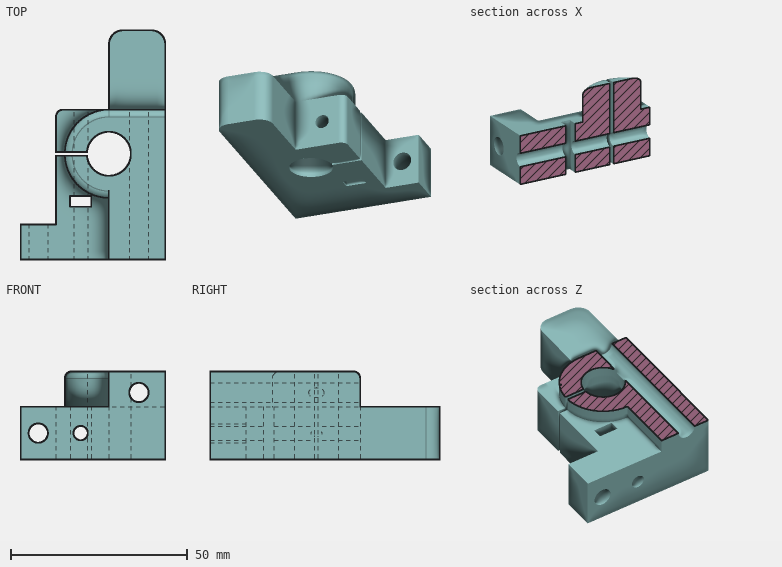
import cadquery as cq

total_width = 41.0
total_length = 65.0
total_height = 25.0
base_height = 15.0

bore_x = 25.0
bore_y = 30.0
bore_diameter = 12.4
clamp_radius = 12.5
rim_fillet = 2.0
split_width = 1.0

flange_depth = 10.0
body_left_x = 10.0
body_back_y = bore_y + clamp_radius
body_corner_radius = 2.0
arm_corner_radius = 4.0

screw_diameter = 5.4
clamp_screw_diameter = 4.0
low_hole_z = base_height / 2
flange_hole_x = 5.0
clamp_hole_x = 17.0
upper_hole_x = 33.5
upper_hole_z = 19.0

nut_pocket_width = 6.0
nut_pocket_length = 3.0
nut_pocket_front_y = 15.0


def box_between(x_range, y_range, z_range):
    """Box that spans the given (low, high) limits on each axis."""
    low, high = zip(x_range, y_range, z_range)
    size = [end - start for start, end in zip(low, high)]
    return cq.Workplane("XY").box(*size, centered=False).translate(low)


def make_base():
    """Low plate: front flange, body beside the clamp and rear arm."""
    flange = box_between((0, total_width), (0, flange_depth), (0, base_height))
    body = box_between((body_left_x, total_width), (0, body_back_y), (0, base_height))
    body = body.edges("|Z and <X and >Y").fillet(body_corner_radius)
    arm = box_between((bore_x, total_width), (0, total_length), (0, base_height))
    arm = arm.edges("|Z and >Y").fillet(arm_corner_radius)
    return flange.union(body).union(arm)


def make_upper_block():
    """Full-height block with the round clamp boss and a filleted rear rim."""
    block = box_between((bore_x, total_width), (0, body_back_y), (0, total_height))
    boss = cq.Workplane("XY").center(bore_x, bore_y).circle(clamp_radius).extrude(total_height)
    upper = block.union(boss).clean()
    back_edge = upper.faces(">Y").edges(">Z")
    boss_rim = upper.faces(">Z").edges("%CIRCLE")
    return upper.newObject(back_edge.vals() + boss_rim.vals()).fillet(rim_fillet)


def hole_along_y(x, z, diameter):
    """Cutter for a round hole through the whole length of the part."""
    start = cq.Workplane("XZ").center(x, z)
    return start.circle(diameter / 2).extrude(-total_length)


def make_clamp_cut():
    """Shaft bore and the split that opens it to the left side."""
    bore = cq.Workplane("XY").center(bore_x, bore_y).circle(bore_diameter / 2).extrude(total_height)
    split_y_range = (bore_y - split_width / 2, bore_y + split_width / 2)
    split = box_between((0, bore_x), split_y_range, (0, total_height))
    return bore.union(split)


def make_nut_pocket():
    """Vertical pocket through the base, centred on the clamp screw."""
    half_width = nut_pocket_width / 2
    return box_between(
        (clamp_hole_x - half_width, clamp_hole_x + half_width),
        (nut_pocket_front_y, nut_pocket_front_y + nut_pocket_length),
        (0, base_height),
    )


result = make_base().union(make_upper_block())
result = result.cut(make_clamp_cut()).cut(make_nut_pocket())
result = result.cut(hole_along_y(flange_hole_x, low_hole_z, screw_diameter))
result = result.cut(hole_along_y(clamp_hole_x, low_hole_z, clamp_screw_diameter))
result = result.cut(hole_along_y(upper_hole_x, upper_hole_z, screw_diameter))